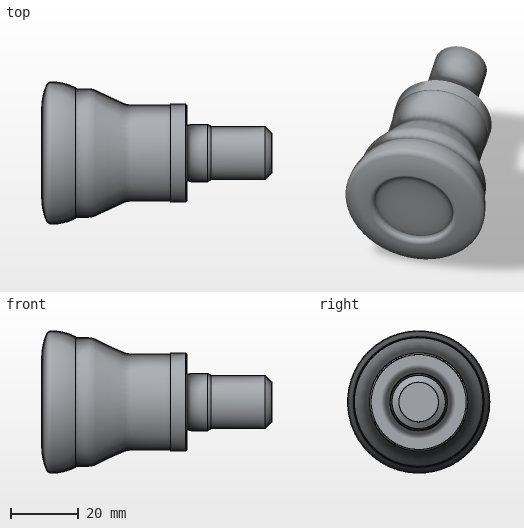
import cadquery as cq
import math


length = 68.0
knob_length = 38.0
collar_end = 42.9

head_radius = 21.0
lip_radius = 13.25
rim_start_x = 1.4
rim_start_radius = 20.0
rim_end_x = 3.0
head_end_x = 9.9
head_end_radius = 19.3
root_length = 0.4

recess_floor_radius = 11.75
recess_depth = 2.05
lip_fillet = 1.15

shoulder_radius = 38.0 / 2
sleeve_radius = 28.5 / 2
flare_start_x = 13.65
flare_bend_radius = 5.0
flare_angle = math.radians(25)

collar_radius = 29.0 / 2
collar_back_chamfer = 0.5
neck_radius = 8.3
neck_length = 0.55
guide_radius = 17 / 2
guide_start_x = 44.25
guide_end_x = 48.95
pin_start_x = 50.05
pin_radius = 15.8 / 2
tip_chamfer = 2.05


def revolve_about_x(profile):
    return profile.close().revolve(360, (0, 0, 0), (1, 0, 0))


def on_circle(center, radius, angle):
    """Point on a circle, with the angle measured from the radial direction towards +X."""
    return (center[0] + radius * math.sin(angle), center[1] + radius * math.cos(angle))


def make_knob():
    lip_center = (lip_fillet, lip_radius)
    lip_start = (0, lip_radius)
    lip_mid = on_circle(lip_center, lip_fillet, math.radians(225))
    lip_end = (lip_fillet, lip_radius - lip_fillet)

    bend_length = flare_bend_radius * math.sin(flare_angle)
    bend_drop = flare_bend_radius * (1 - math.cos(flare_angle))
    cone_drop = shoulder_radius - sleeve_radius - 2 * bend_drop
    cone_length = cone_drop / math.tan(flare_angle)
    flare_end_x = flare_start_x + 2 * bend_length + cone_length
    outer_center = (flare_start_x, shoulder_radius - flare_bend_radius)
    inner_center = (flare_end_x, sleeve_radius + flare_bend_radius)

    dome_rise = rim_start_radius - lip_radius
    dome_radius = (dome_rise**2 + rim_start_x**2) / (2 * rim_start_x)
    dome_half_angle = math.asin(dome_rise / dome_radius) / 2
    dome_mid = (
        dome_radius * (1 - math.cos(dome_half_angle)),
        lip_radius + dome_radius * math.sin(dome_half_angle),
    )

    side_length = head_end_x - rim_end_x
    side_drop = head_radius - head_end_radius
    side_radius = (side_length**2 + side_drop**2) / (2 * side_drop)
    side_half_angle = math.asin(side_length / side_radius) / 2
    side_mid = on_circle((rim_end_x, head_radius - side_radius), side_radius, side_half_angle)

    root_drop = head_end_radius - shoulder_radius
    root_radius = (root_length**2 + root_drop**2) / (2 * root_drop)
    root_end_x = head_end_x + root_length
    root_center = (root_end_x, shoulder_radius + root_radius)
    root_half_angle = math.asin(root_length / root_radius) / 2
    root_mid = on_circle(root_center, -root_radius, root_half_angle)

    profile = (
        cq.Workplane("XY")
        .moveTo(recess_depth, 0)
        .lineTo(recess_depth, recess_floor_radius)
        .lineTo(*lip_end)
        .threePointArc(lip_mid, lip_start)
        .threePointArc(dome_mid, (rim_start_x, rim_start_radius))
        .tangentArcPoint((rim_end_x, head_radius), relative=False)
        .threePointArc(side_mid, (head_end_x, head_end_radius))
        .threePointArc(root_mid, (root_end_x, shoulder_radius))
        .lineTo(flare_start_x, shoulder_radius)
        .threePointArc(
            on_circle(outer_center, flare_bend_radius, flare_angle / 2),
            on_circle(outer_center, flare_bend_radius, flare_angle),
        )
        .lineTo(*on_circle(inner_center, -flare_bend_radius, flare_angle))
        .threePointArc(
            on_circle(inner_center, -flare_bend_radius, flare_angle / 2),
            (flare_end_x, sleeve_radius),
        )
        .lineTo(knob_length, sleeve_radius)
        .lineTo(knob_length, 0)
    )
    return revolve_about_x(profile)


def make_plunger():
    profile = (
        cq.Workplane("XY")
        .moveTo(knob_length, 0)
        .lineTo(knob_length, collar_radius)
        .lineTo(collar_end - collar_back_chamfer, collar_radius)
        .lineTo(collar_end, collar_radius - collar_back_chamfer)
        .lineTo(collar_end, neck_radius)
        .lineTo(collar_end + neck_length, neck_radius)
        .lineTo(guide_start_x, guide_radius)
        .lineTo(guide_end_x, guide_radius)
        .lineTo(pin_start_x, pin_radius)
        .lineTo(length - tip_chamfer, pin_radius)
        .lineTo(length, pin_radius - tip_chamfer)
        .lineTo(length, 0)
    )
    return revolve_about_x(profile)


knob = make_knob()
plunger = make_plunger()

result = cq.Compound.makeCompound([knob.val(), plunger.val()])